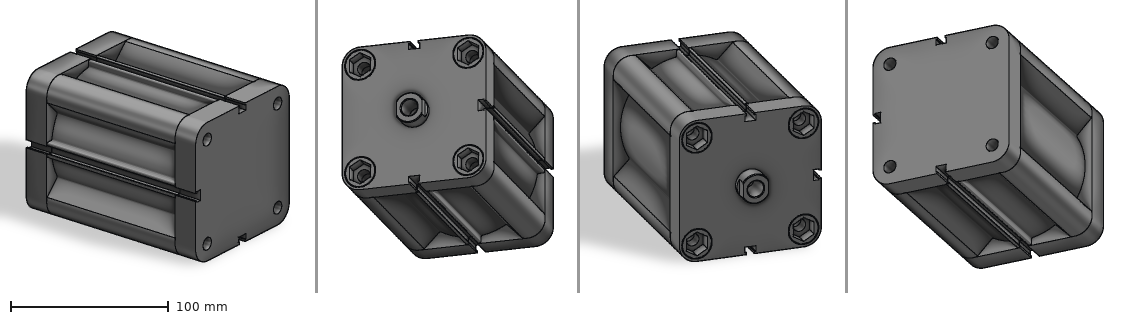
import cadquery as cq
import math


total_length = 146.5
body_side = 96.0
half_side = body_side / 2
rod_projection = 10.0
body_length = total_length - rod_projection
cap_length = 16.5
tube_length = body_length - 2 * cap_length

screw_offset = 36.0
corner_radius = half_side - screw_offset
screw_hole_diameter = 8.5
hex_across_flats = 14.0
hex_depth = 8.0
ring_outer_diameter = 20.5
ring_width = 0.5
ring_depth = 1.5
screw_points = [(y, z) for y in (-screw_offset, screw_offset) for z in (-screw_offset, screw_offset)]

slot_angles = (0, 90, 180)
slot_mouth_width = 5.5
slot_lip_depth = 1.5
cap_slot_width = 7.3
cap_slot_depth = 5.3
tube_slot_width = 6.5
tube_slot_depth = 5.0

barrel_radius = 43.0
lug_width = 21.0
lug_angles = (45, 135, 225, 315)
rib_width = 10.5
rib_recess = 0.5
rib_top = half_side - rib_recess
tube_fillet = 1.0
slot_edge_fillet = 0.5
edge_tolerance = 0.01

rod_diameter = 20.0
rod_tip_chamfer = 0.6
flats_width = 17.0
flats_length = 6.6
flats_runout = 0.6
thread_diameter = 10.8
thread_depth = 17.6
thread_entry_diameter = 12.0
drill_point_angle = 120.0


def turned_about_axis(shape, angle):
    return shape.rotate((0, 0, 0), (1, 0, 0), angle)


def bars_at_screws(diameter, length):
    return cq.Workplane("YZ").pushPoints(screw_points).circle(diameter / 2).extrude(length)


def slot_cutters(wide_width, depth, length):
    """One T-shaped bar for each slotted side, running from X = 0."""
    mouth = cq.Workplane("XY").box(length, slot_mouth_width, depth, centered=(False, True, False))
    wide = cq.Workplane("XY").box(
        length, wide_width, depth - slot_lip_depth, centered=(False, True, False)
    )
    bar = mouth.union(wide).translate((0, 0, half_side - depth))
    cutters = turned_about_axis(bar, slot_angles[0])
    for angle in slot_angles[1:]:
        cutters = cutters.union(turned_about_axis(bar, angle))
    return cutters


def make_cap():
    """Square end cap with slots and screw holes, its outer face at X = 0."""
    cap = (
        cq.Workplane("YZ")
        .rect(body_side, body_side)
        .extrude(cap_length)
        .edges("|X")
        .fillet(corner_radius)
    )
    cap = cap.cut(slot_cutters(cap_slot_width, cap_slot_depth, cap_length))
    return cap.cut(bars_at_screws(screw_hole_diameter, cap_length))


def make_front_cap():
    cap = make_cap()
    hex_across_corners = hex_across_flats / math.cos(math.radians(30))
    socket = cq.Workplane("YZ").polygon(6, hex_across_corners).extrude(hex_depth)
    socket = turned_about_axis(socket, 90)
    for y, z in screw_points:
        cap = cap.cut(socket.translate((0, y, z)))
    rings = bars_at_screws(ring_outer_diameter, ring_depth).cut(
        bars_at_screws(ring_outer_diameter - 2 * ring_width, ring_depth)
    )
    cap = cap.cut(rings)
    rod_bore = cq.Workplane("YZ").circle(rod_diameter / 2).extrude(cap_length)
    return cap.cut(rod_bore)


def make_rear_cap():
    return make_cap().mirror("YZ").translate((body_length, 0, 0))


def make_lug():
    """Web from the axis out to one screw corner, drawn along +Y."""
    half_width = lug_width / 2
    screw_distance = screw_offset * math.sqrt(2)
    arc_start = screw_distance + math.sqrt(corner_radius**2 - half_width**2)
    return (
        cq.Workplane("YZ")
        .moveTo(0, -half_width)
        .lineTo(arc_start, -half_width)
        .threePointArc((screw_distance + corner_radius, 0), (arc_start, half_width))
        .lineTo(0, half_width)
        .close()
        .extrude(tube_length)
    )


def make_tube():
    barrel = cq.Workplane("YZ").circle(barrel_radius).extrude(tube_length)
    tube = turned_about_axis(barrel, lug_angles[0])
    for angle in lug_angles:
        tube = tube.union(turned_about_axis(make_lug(), angle))
    rib = cq.Workplane("XY").box(tube_length, rib_width, rib_top, centered=(False, True, False))
    for angle in slot_angles:
        tube = tube.union(turned_about_axis(rib, angle))

    def is_near_axis(edge):
        center = edge.Center()
        return math.hypot(center.y, center.z) < half_side

    tube = tube.edges("|X").filter(is_near_axis).fillet(tube_fillet)

    tube = tube.cut(slot_cutters(tube_slot_width, tube_slot_depth, tube_length))

    mouth_corner_distance = math.hypot(slot_mouth_width / 2, rib_top)

    def is_slot_mouth(edge):
        center = edge.Center()
        return abs(math.hypot(center.y, center.z) - mouth_corner_distance) < edge_tolerance

    tube = tube.edges("|X").filter(is_slot_mouth).fillet(slot_edge_fillet)
    tube = tube.cut(bars_at_screws(screw_hole_diameter, tube_length))
    return tube.translate((cap_length, 0, 0))


def make_flat_cutter():
    """Removes one wrench flat on the +Y side, with a sloping end."""
    flat_y = flats_width / 2
    rod_radius = rod_diameter / 2
    flat_end = -rod_projection + flats_length
    return (
        cq.Workplane("XY")
        .polyline([
            (-rod_projection, flat_y),
            (flat_end, flat_y),
            (flat_end + flats_runout, rod_radius),
            (-rod_projection, rod_radius),
        ])
        .close()
        .extrude(rod_diameter, both=True)
    )


def make_thread_hole():
    """Blind drilled hole with a drill point and a countersunk entry, revolved about X."""
    radius = thread_diameter / 2
    entry_radius = thread_entry_diameter / 2
    point_length = radius / math.tan(math.radians(drill_point_angle / 2))
    return (
        cq.Workplane("XY")
        .polyline([
            (0, 0),
            (0, entry_radius),
            (entry_radius - radius, radius),
            (thread_depth, radius),
            (thread_depth + point_length, 0),
        ])
        .close()
        .revolve(360, (0, 0, 0), (1, 0, 0))
        .translate((-rod_projection, 0, 0))
    )


def make_rod():
    rod = (
        cq.Workplane("YZ", origin=(-rod_projection, 0, 0))
        .circle(rod_diameter / 2)
        .extrude(rod_projection + cap_length)
        .faces("<X")
        .chamfer(rod_tip_chamfer)
    )
    flat = make_flat_cutter()
    rod = rod.cut(flat).cut(flat.mirror("XZ"))
    return rod.cut(make_thread_hole())


front_cap = make_front_cap()
tube = make_tube()
rear_cap = make_rear_cap()
rod = make_rod()

result = cq.Compound.makeCompound([front_cap.val(), tube.val(), rear_cap.val(), rod.val()])